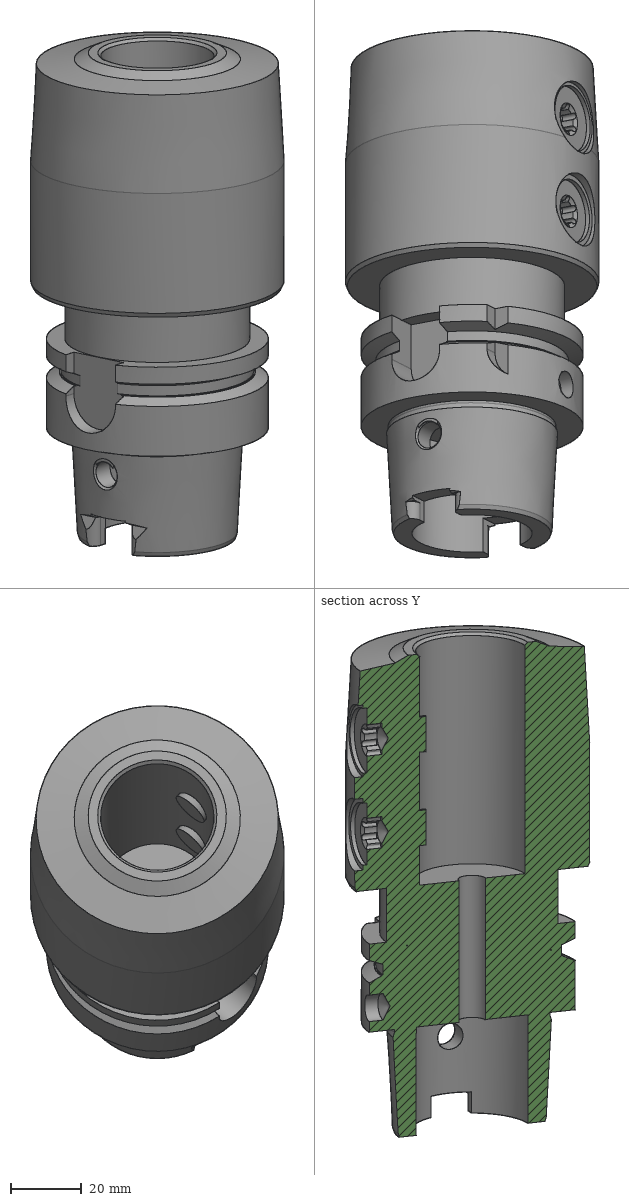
import cadquery as cq
import math


total_height = 141.9
tip_chamfer_top = 1.3
taper_top = 29.8
flange_bottom = 31.9
lower_flange_cone_start = 46.5
groove_step_start = 48.2
groove_bottom = 48.5
groove_top = 51.5
upper_flange_cone_end = 53.0
flange_top = 58.0
collar_bottom = 73.8
collar_taper_start = 110.3
collar_rim = 138.8
nose_bottom = 140.0

tip_radius = 22.3
taper_small_radius = 22.7
taper_large_radius = 24.3
relief_radius = 23.8
relief_height = 1.4
flange_radius = 31.5
groove_radius = 27.4
groove_step_radius = 27.8
neck_radius = 26.3
collar_radius = 35.97
collar_rim_radius = 34.3
collar_chamfer = 0.5
collar_chamfer_height = 1.3
nose_outer_radius = 23.5
nose_inner_radius = 19.6

bore_radius = 16.0
bore_chamfer = 0.9
bore_floor = collar_bottom
coolant_radius = 4.0
cavity_radius = 17.0
cavity_top = flange_bottom

upper_screw_height = 118.0
lower_screw_height = 90.5
recess_radius = 10.5
recess_floor_x = -33.5
upper_screw_radius = 9.5
lower_screw_radius = 9.1
screw_face_x = -32.2
screw_tip_x = -14.0
screw_tip_radius = 5.3
socket_lobe_count = 6
socket_lobe_reach = 4.5
socket_lobe_width = 1.7
socket_depth = 4.5
socket_rim_radius = 4.7
socket_rim_depth = 0.7
socket_drill_radius = 3.4
socket_drill_cone = 2.0

keyway_end_height = 36.9
front_keyway_width = 18.0
front_keyway_floor = 26.5
back_keyway_width = 15.9
back_keyway_floor = 20.0
notch_corner = 20.0
chip_hole_radius = 3.8
chip_hole_height = 39.0
chip_hole_depth = 4.3
chip_hole_cone = 2.1

cross_hole_radius = 3.8
cross_hole_height = 23.0
cross_hole_rim = 0.4
cross_hole_rim_radius = 23.4
drive_slot_width = 12.3
drive_flat_distance = 21.0
drive_edge_radius = 2.8
drive_rim_y = 23.3
front_drive_height = 10.1
front_drive_root_y = 19.7
front_drive_root_height = 8.5
back_drive_height = 6.2
back_drive_root_y = drive_flat_distance
back_drive_root_height = 5.1
drive_undercut_height = 3.5

clearance = 14.2


def cylinder_x(radius, x_start, x_end, height):
    """Cylinder along X between two X positions, at the given Z height."""
    return (
        cq.Workplane("YZ", origin=(x_start, 0, height))
        .circle(radius)
        .extrude(x_end - x_start)
    )


def cone_x(start_radius, end_radius, x_start, length, height):
    """Cone along +X, starting at x_start, at the given Z height."""
    start = cq.Vector(x_start, 0, height)
    return cq.Workplane(cq.Solid.makeCone(start_radius, end_radius, length, start, cq.Vector(1, 0, 0)))


def make_body():
    """Turned outside shape of shank, flange, neck and collar."""
    profile = [
        (0, 0),
        (tip_radius, 0),
        (taper_small_radius, tip_chamfer_top),
        (taper_large_radius, taper_top),
        (relief_radius, taper_top + relief_height),
        (relief_radius, flange_bottom),
        (flange_radius, flange_bottom),
        (flange_radius, lower_flange_cone_start),
        (groove_step_radius, groove_step_start),
        (groove_step_radius, groove_bottom),
        (groove_radius, groove_bottom),
        (groove_radius, groove_top),
        (flange_radius, upper_flange_cone_end),
        (flange_radius, flange_top),
        (neck_radius, flange_top),
        (neck_radius, collar_bottom),
        (collar_radius - collar_chamfer, collar_bottom),
        (collar_radius, collar_bottom + collar_chamfer_height),
        (collar_radius, collar_taper_start),
        (collar_rim_radius, collar_rim),
        (nose_outer_radius, nose_bottom),
        (nose_inner_radius, total_height),
        (0, total_height),
    ]
    return cq.Workplane("XZ").polyline(profile).close().revolve(360, (0, 0, 0), (0, 1, 0))


def make_axial_holes():
    """Tool bore with chamfered mouth, coolant passage and shank cavity."""
    profile = [
        (0, 0),
        (cavity_radius, 0),
        (cavity_radius, cavity_top),
        (coolant_radius, cavity_top),
        (coolant_radius, bore_floor),
        (bore_radius, bore_floor),
        (bore_radius, total_height - bore_chamfer),
        (bore_radius + bore_chamfer, total_height),
        (0, total_height),
    ]
    return cq.Workplane("XZ").polyline(profile).close().revolve(360, (0, 0, 0), (0, 1, 0))


def make_screw_recess(screw_radius, height):
    """Stepped recess above the screw head, with its six-lobed socket."""
    outside_x = -collar_radius - clearance
    socket_end_x = screw_face_x + socket_depth
    step = cylinder_x(recess_radius, outside_x, recess_floor_x, height)
    head_space = cylinder_x(screw_radius, outside_x, screw_face_x, height)
    socket = cylinder_x(socket_drill_radius, screw_face_x, socket_end_x, height)
    for lobe_pair in range(socket_lobe_count // 2):
        lobes = (
            cq.Workplane("YZ", origin=(screw_face_x, 0, height))
            .slot2D(2 * socket_lobe_reach, socket_lobe_width, 90 + lobe_pair * 360 / socket_lobe_count)
            .extrude(socket_depth)
        )
        socket = socket.union(lobes)
    rim = cone_x(socket_rim_radius, socket_drill_radius, screw_face_x, socket_rim_depth, height)
    drill_cone = cone_x(socket_drill_radius, 0, socket_end_x, socket_drill_cone, height)
    return step.union(head_space).union(socket).union(rim).union(drill_cone)


def make_screw_tip(height):
    """End of a clamping screw standing out into the tool bore."""
    return cylinder_x(screw_tip_radius, -bore_radius - bore_chamfer, screw_tip_x, height)


def make_keyway(width, center_x, y_start, y_end):
    """Slot along Y, open at the flange top and rounded at its lower end."""
    half = width / 2
    round_center = keyway_end_height + half
    return (
        cq.Workplane("XZ", origin=(center_x, y_start, 0))
        .moveTo(-half, flange_top)
        .lineTo(-half, round_center)
        .threePointArc((0, keyway_end_height), (half, round_center))
        .lineTo(half, flange_top)
        .close()
        .extrude(y_start - y_end)
    )


def make_chip_hole():
    """Blind hole with a conical bottom in the -X side of the flange."""
    floor_x = -flange_radius + chip_hole_depth
    hole = cylinder_x(chip_hole_radius, -flange_radius - clearance, floor_x, chip_hole_height)
    return hole.union(cone_x(chip_hole_radius, 0, floor_x, chip_hole_cone, chip_hole_height))


def make_cross_hole():
    """Hole along Y through the shank wall, chamfered where it leaves the taper."""
    hole = (
        cq.Workplane("XZ", origin=(0, 0, cross_hole_height))
        .circle(cross_hole_radius)
        .extrude(flange_radius, both=True)
    )
    for side in (-1, 1):
        start = cq.Vector(0, side * (cross_hole_rim_radius - cross_hole_rim), cross_hole_height)
        rim = cq.Solid.makeCone(
            cross_hole_radius,
            cross_hole_radius + 2 * cross_hole_rim,
            2 * cross_hole_rim,
            start,
            cq.Vector(0, side, 0),
        )
        hole = hole.union(cq.Workplane(rim))
    return hole


def make_drive_slot(slot_height, root_y, root_height):
    """Cutter for a -Y drive slot: outer flat with a sloped ceiling, and a slot with rounded entry edges."""
    half = drive_slot_width / 2
    outer_y = flange_radius
    ceiling_slope = (slot_height - root_height) / (drive_rim_y - root_y)
    outer_height = root_height + ceiling_slope * (outer_y - root_y)
    flat_profile = [
        (-outer_y, 0),
        (-drive_flat_distance, 0),
        (-drive_flat_distance, root_height - drive_undercut_height),
        (-root_y, root_height),
        (-outer_y, outer_height),
    ]
    flat = cq.Workplane("YZ").polyline(flat_profile).close().extrude(flange_radius, both=True)

    slot = cq.Workplane("XY").box(drive_slot_width, outer_y, slot_height, centered=(True, False, False))
    slot = slot.translate((0, -outer_y, 0))

    round_start = half + drive_edge_radius
    inner_y = -drive_flat_distance + drive_edge_radius
    bend = drive_edge_radius * (1 - math.sqrt(0.5))
    entry = (
        cq.Workplane("XY")
        .moveTo(-half, inner_y)
        .threePointArc((-half - bend, -drive_flat_distance + bend), (-round_start, -drive_flat_distance))
        .lineTo(round_start, -drive_flat_distance)
        .threePointArc((half + bend, -drive_flat_distance + bend), (half, inner_y))
        .close()
        .extrude(root_height)
    )
    return flat.union(slot).union(entry)


result = make_body().cut(make_axial_holes())

for radius, height in ((upper_screw_radius, upper_screw_height), (lower_screw_radius, lower_screw_height)):
    result = result.cut(make_screw_recess(radius, height))
    result = result.union(make_screw_tip(height))

notch_center_x = -notch_corner - back_keyway_width / 2
result = result.cut(make_keyway(front_keyway_width, 0, -flange_radius - clearance, -front_keyway_floor))
result = result.cut(make_keyway(back_keyway_width, 0, back_keyway_floor, flange_radius + clearance))
result = result.cut(make_keyway(back_keyway_width, notch_center_x, notch_corner, flange_radius + clearance))
result = result.cut(make_chip_hole())

result = result.cut(make_cross_hole())
front_slot = make_drive_slot(front_drive_height, front_drive_root_y, front_drive_root_height)
back_slot = make_drive_slot(back_drive_height, back_drive_root_y, back_drive_root_height)
result = result.cut(front_slot)
result = result.cut(back_slot.rotate((0, 0, 0), (0, 0, 1), 180))